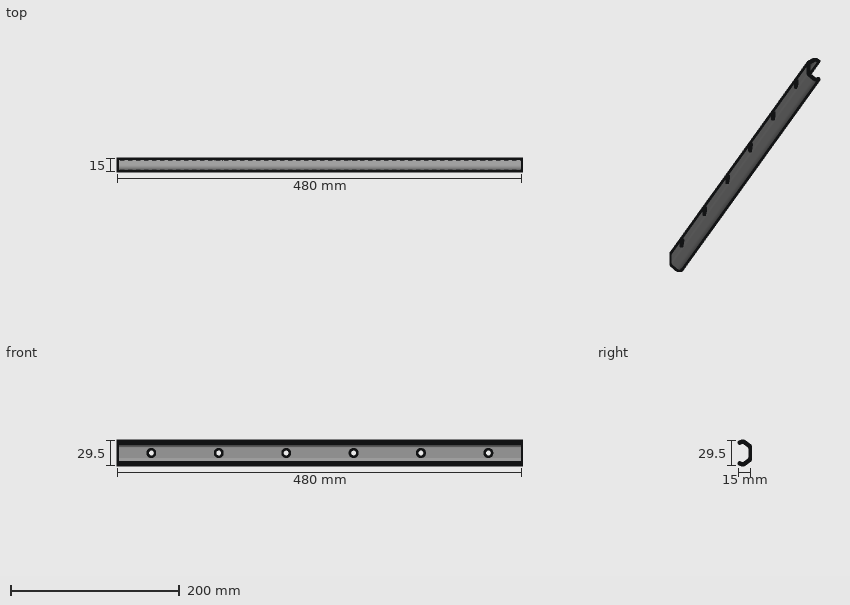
import cadquery as cq
import math

length = 480.0
depth = 15.0
height = 29.5

thickness = 2.15
web_bend_radius = 2.0
fold_bend_radius = 3.0
outer_fold_radius = fold_bend_radius + thickness
web_half_height = 8.0
arm_angle = math.radians(37)
lip_angle = math.radians(35)

hole_count = 6
hole_pitch = length / hole_count
hole_diameter = 8.5

web_y = depth / 2
lip_y = -depth / 2
bend_z = height / 2 - outer_fold_radius
bend_y = (
    web_y
    - (bend_z - web_half_height) / math.tan(arm_angle)
    - outer_fold_radius / math.sin(arm_angle)
)
half_turn = (arm_angle + lip_angle) / 2
fold_tilt = (arm_angle - lip_angle) / 2


def from_bend_centre(radius):
    """Sharp corner of the two lines that touch a circle about the bend centre."""
    reach = radius / math.cos(half_turn)
    return (bend_y + reach * math.sin(fold_tilt), bend_z + reach * math.cos(fold_tilt))


fold_y, fold_z = from_bend_centre(outer_fold_radius)
lip_z = fold_z - (fold_y - lip_y) * math.tan(lip_angle)

web_corner_shift = thickness * math.tan((math.pi / 2 - arm_angle) / 2)

outer_upper = [(web_y, web_half_height), (fold_y, fold_z), (lip_y, lip_z)]
inner_upper = [
    (lip_y + thickness * math.sin(lip_angle), lip_z - thickness * math.cos(lip_angle)),
    from_bend_centre(fold_bend_radius),
    (web_y - thickness, web_half_height - web_corner_shift),
]


def make_folded_strip():
    """Extrude the sharp-cornered channel, symmetric about the XY plane, along X."""
    upper = outer_upper + inner_upper
    lower = [(y, -z) for y, z in reversed(upper)]
    return cq.Workplane("YZ").polyline(upper + lower).close().extrude(length / 2, both=True)


def round_bend(strip, outer_corner, inner_corner, inner_radius):
    """Round one bend to a constant thickness, together with its mirror image."""
    faces = ((outer_corner, inner_radius + thickness), (inner_corner, inner_radius))
    for (y, z), radius in faces:
        for side in (1, -1):
            corner = (0, y, side * z)
            strip = strip.edges(cq.selectors.NearestToPointSelector(corner)).fillet(radius)
    return strip


def make_holes():
    """Cylinders along Y, evenly spaced and centred on the web."""
    return (
        cq.Workplane("XZ")
        .rarray(hole_pitch, 5, hole_count, 1)
        .circle(hole_diameter / 2)
        .extrude(depth, both=True)
    )


outer_web_corner, outer_fold_corner, _ = outer_upper
_, inner_fold_corner, inner_web_corner = inner_upper

rail = make_folded_strip()
rail = round_bend(rail, outer_web_corner, inner_web_corner, web_bend_radius)
rail = round_bend(rail, outer_fold_corner, inner_fold_corner, fold_bend_radius)
result = rail.cut(make_holes())